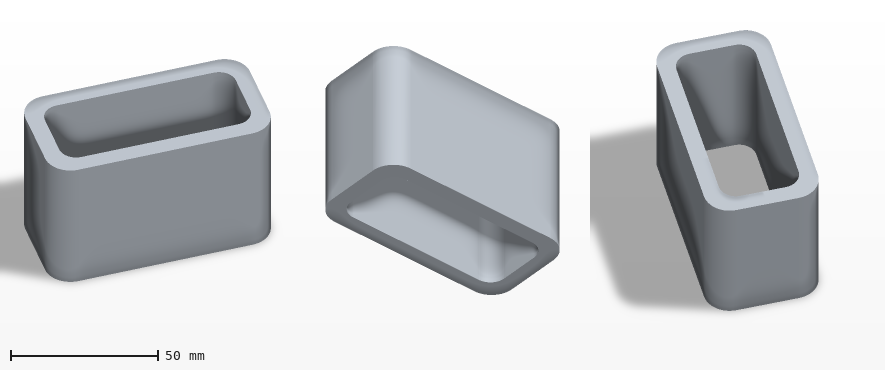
import cadquery as cq

width = 40.0
length = 80.0
height = 50.0
wall = 6.0
outer_corner_radius = 9.0
inner_corner_radius = 6.0


def rounded_block(size_x, size_y, corner_radius):
    """Upright block of the full height with rounded vertical edges."""
    block = cq.Workplane("XY").rect(size_x, size_y).extrude(height)
    return block.edges("|Z").fillet(corner_radius)


outer_body = rounded_block(width, length, outer_corner_radius)
opening = rounded_block(width - 2 * wall, length - 2 * wall, inner_corner_radius)

result = outer_body.cut(opening)